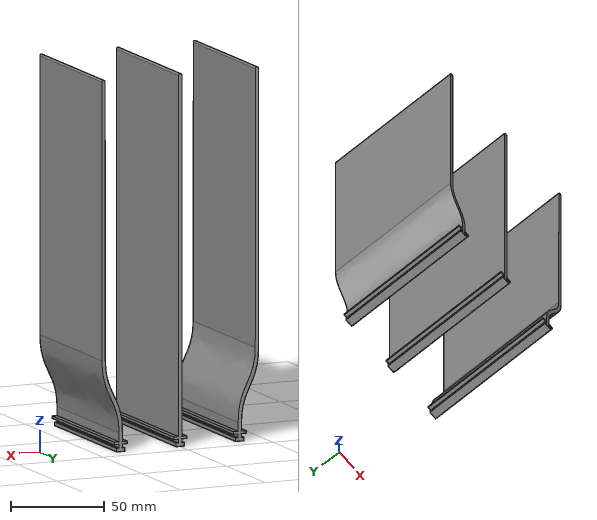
import cadquery as cq

HEIGHT = 203.8
DEPTH = 80.5
OUTER_WIDTH = 92.3

PLATE_THICKNESS = 2.0
TIP_THICKNESS = 1.9
PLATE_PITCH = 35.0

BEND_BOTTOM = 10.4
BEND_TOP = 50.5
BEND_HANDLE = 0.48
HANDLE_SHIFT = 0.8
BEND_OFFSET = OUTER_WIDTH / 2 - PLATE_THICKNESS / 2 - PLATE_PITCH

FOOT_WIDTH = 4.9
FOOT_HEIGHT = 2.0
FLANGE_WIDTH = 7.7
FLANGE_BOTTOM = 4.0
FLANGE_THICKNESS = 1.5


def rail(width, bottom, height):
    """Full-depth rectangular rail centred on X = 0."""
    return cq.Workplane("XY").workplane(offset=bottom).rect(width, DEPTH).extrude(height)


def add_rails(plate):
    """Join the foot and the flange to a plate whose lower end is at X = 0."""
    foot = rail(FOOT_WIDTH, 0, FOOT_HEIGHT)
    flange = rail(FLANGE_WIDTH, FLANGE_BOTTOM, FLANGE_THICKNESS)
    return plate.union(foot).union(flange)


def middle_plate():
    """Straight plate with a half-round top."""
    half = PLATE_THICKNESS / 2
    profile = (
        cq.Workplane("XZ", origin=(0, DEPTH / 2, 0))
        .moveTo(-half, 0)
        .lineTo(half, 0)
        .lineTo(half, HEIGHT - half)
        .threePointArc((0, HEIGHT), (-half, HEIGHT - half))
    )
    return add_rails(profile.close().extrude(DEPTH))


def outer_plate():
    """Plate bent towards +X, its inner face tapering towards the rounded top."""
    half = PLATE_THICKNESS / 2
    handle = BEND_HANDLE * (BEND_TOP - BEND_BOTTOM)
    long_handle = handle + HANDLE_SHIFT
    short_handle = handle - HANDLE_SHIFT
    outer_face = BEND_OFFSET + half
    inner_face = BEND_OFFSET - half
    tip_radius = TIP_THICKNESS / 2
    tip_inner = outer_face - TIP_THICKNESS
    profile = (
        cq.Workplane("XZ", origin=(0, DEPTH / 2, 0))
        .moveTo(-half, 0)
        .lineTo(half, 0)
        .lineTo(half, BEND_BOTTOM)
        .bezier([
            (half, BEND_BOTTOM),
            (half, BEND_BOTTOM + short_handle),
            (outer_face, BEND_TOP - long_handle),
            (outer_face, BEND_TOP),
        ])
        .lineTo(outer_face, HEIGHT - tip_radius)
        .threePointArc((outer_face - tip_radius, HEIGHT), (tip_inner, HEIGHT - tip_radius))
        .lineTo(inner_face, BEND_TOP)
        .bezier([
            (inner_face, BEND_TOP),
            (inner_face, BEND_TOP - short_handle),
            (-half, BEND_BOTTOM + long_handle),
            (-half, BEND_BOTTOM),
        ])
    )
    return add_rails(profile.close().extrude(DEPTH))


middle = middle_plate()

right_plate = outer_plate().translate((PLATE_PITCH, 0, 0))
outer_plates = [right_plate, right_plate.mirror("YZ")]

result = cq.Compound.makeCompound([middle.val(), *[plate.val() for plate in outer_plates]])